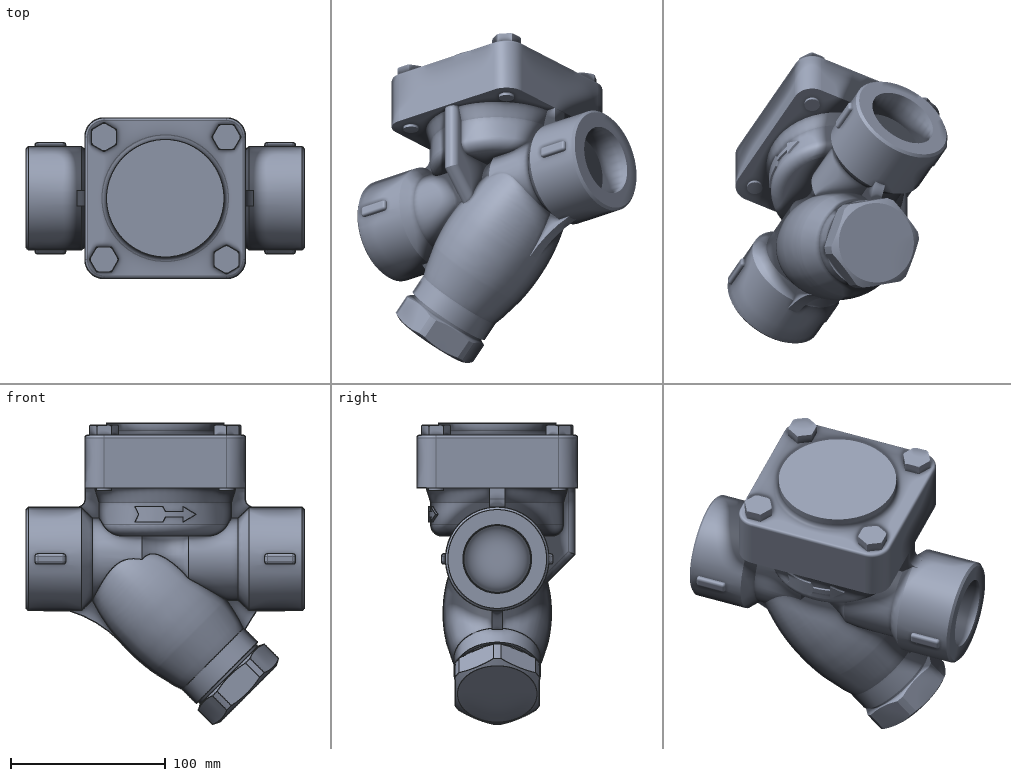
import cadquery as cq
import math

overall_height = 194.8

pipe_length = 180.0
pipe_end_dia = 67.0
pipe_mid_dia = 54.0
hub_inner_x = 54.1
hub_taper = 7.0
pipe_chamfer = 1.5
waist_half_length = 15.0
waist_depth = 5.5
bore_dia = 43.2
bore_mouth_dia = 44.5
bore_taper_depth = 15.4
bore_depth = 19.9

pad_length = 19.9
pad_width = 6.8
pad_x = 74.2
pad_outer_y = 36.0
pad_edge_radius = 1.8

bowl_bottom_z = 14.8
flare_z = 36.5
flange_bottom_z = 46.0
joint_z = 62.0
cover_top_z = 80.0
cap_straight_z = 83.0
cap_top_z = 87.8

flange_side = 104.0
flange_corner_radius = 12.5
cover_edge_radius = 1.8
cap_dia = 76
cap_base_dia = 81.8

bowl_radius = 43.0
bowl_top_radius = 46.0
bowl_edge_radius = 7.4

arrow_z = 28.8
arrow_height = 1.4
arrow_half_width = 5.0
arrow_shaft_half_width = 1.8
arrow_tail_x = -19.7
arrow_notch_x = -17.1
arrow_block_end_x = -1.5
arrow_shaft_start_x = 0.2
arrow_head_x = 11.5
arrow_tip_x = 19.9

bolt_offset = 39.5
bolt_dia = 10.0
bolt_head_flats = 16.4
bolt_head_height = 6.5
bolt_head_chamfer = 0.5
bolt_tip_length = 1.8

branch_angle = 45
branch_drop = 33.7
branch_start = -23.4
branch_start_radius = 25.3
bulge_station = 20.5
bulge_dia = 70.0
collar_start = 67.4
collar_end = 80.2
collar_dia = 56.0
plug_neck_radius = 26.3
plug_start = 82.2
plug_corner_start = 84.1
plug_flats = 54.5
plug_corner_radius = 30.2
plug_face_radius = 25.7
plug_face_chamfer = 2.3
plug_corner_end = (overall_height - cap_top_z - branch_drop / 2) * math.sqrt(2) - plug_corner_radius
plug_end = plug_corner_end + plug_face_chamfer

web_thickness = 6.8
web_top_z = -19.5
left_web_start_x = -62.1
left_web_mid = (-45.2, -40.9)
left_web_end = (-26.9, -55.9)
left_web_inner_x = -19.5
right_web_start_x = 59.0
right_web_end = (51.0, -46.4)
right_web_inner = (35, -35)
rib_width = 10.0
rib_outer_x = 51.8
rib_fillet = 5.3
back_rib_y = 50.2
back_rib_corner_z = 3.0
back_rib_slope = 25.3
back_rib_edge = 4.3


def pipe():
    half = pipe_length / 2
    end_r = pipe_end_dia / 2
    mid_r = pipe_mid_dia / 2
    taper_x = hub_inner_x - hub_taper
    body = (
        cq.Workplane("XZ")
        .moveTo(-half, 0)
        .lineTo(-half, end_r - pipe_chamfer)
        .lineTo(-half + pipe_chamfer, end_r)
        .lineTo(-hub_inner_x, end_r)
        .lineTo(-taper_x, mid_r)
        .lineTo(-waist_half_length, mid_r)
        .threePointArc((0, mid_r - waist_depth), (waist_half_length, mid_r))
        .lineTo(taper_x, mid_r)
        .lineTo(hub_inner_x, end_r)
        .lineTo(half - pipe_chamfer, end_r)
        .lineTo(half, end_r - pipe_chamfer)
        .lineTo(half, 0)
        .close()
        .revolve(360, (0, 0), (1, 0))
    )
    for x in (-pad_x, pad_x):
        pad = (
            cq.Workplane("XY")
            .box(pad_length, 2 * pad_outer_y, pad_width)
            .translate((x, 0, 0))
            .edges()
            .fillet(pad_edge_radius)
        )
        body = body.union(pad)
    return body


def pipe_bores():
    mouth_x = -pipe_length / 2
    bore = (
        cq.Workplane("XZ")
        .moveTo(mouth_x, 0)
        .lineTo(mouth_x, bore_mouth_dia / 2)
        .lineTo(mouth_x + bore_taper_depth, bore_dia / 2)
        .lineTo(mouth_x + bore_depth, bore_dia / 2)
        .lineTo(mouth_x + bore_depth, 0)
        .close()
        .revolve(360, (0, 0), (1, 0))
    )
    return bore.union(bore.mirror("YZ"))


def bowl():
    return (
        cq.Workplane("XZ")
        .moveTo(0, bowl_bottom_z)
        .lineTo(bowl_radius - bowl_edge_radius, bowl_bottom_z)
        .radiusArc((bowl_radius, bowl_bottom_z + bowl_edge_radius), -bowl_edge_radius)
        .lineTo(bowl_radius, flare_z)
        .lineTo(bowl_top_radius, flange_bottom_z)
        .lineTo(0, flange_bottom_z)
        .close()
        .revolve(360, (0, 0), (0, 1))
    )


def flow_arrow():
    upper = [
        (arrow_notch_x, 0),
        (arrow_tail_x, arrow_half_width),
        (arrow_block_end_x, arrow_half_width),
        (arrow_shaft_start_x, arrow_shaft_half_width),
        (arrow_head_x, arrow_shaft_half_width),
        (arrow_head_x, arrow_half_width),
        (arrow_tip_x, 0),
    ]
    lower = [(x, -z) for x, z in reversed(upper[1:-1])]
    outer_radius = bowl_radius + arrow_height
    prism = (
        cq.Workplane("XZ", origin=(0, 0, arrow_z))
        .polyline(upper + lower)
        .close()
        .extrude(outer_radius)
    )
    sleeve = cq.Workplane("XY").workplane(offset=bowl_bottom_z).circle(outer_radius)
    return prism.intersect(sleeve.extrude(flange_bottom_z - bowl_bottom_z))


def flange_block(bottom_z, top_z):
    return (
        cq.Workplane("XY")
        .workplane(offset=bottom_z)
        .rect(flange_side, flange_side)
        .extrude(top_z - bottom_z)
        .edges("|Z")
        .fillet(flange_corner_radius)
    )


def cover_cap():
    return (
        cq.Workplane("XZ")
        .moveTo(0, cover_top_z)
        .lineTo(cap_base_dia / 2, cover_top_z)
        .radiusArc((cap_dia / 2, cap_straight_z), (cap_base_dia - cap_dia) / 2)
        .lineTo(cap_dia / 2, cap_top_z)
        .lineTo(0, cap_top_z)
        .close()
        .revolve(360, (0, 0), (0, 1))
    )


def bolt(x, y):
    corner_r = bolt_head_flats / math.sqrt(3)
    turn = 0 if x * y > 0 else 90
    head = cq.Workplane("XY").polygon(6, 2 * corner_r).extrude(bolt_head_height)
    blank = cq.Workplane("XY").circle(corner_r).extrude(bolt_head_height)
    rounding = blank.faces(">Z").chamfer(bolt_head_chamfer)
    head = head.intersect(rounding).rotate((0, 0, 0), (0, 0, 1), turn)
    tip_z = flange_bottom_z - bolt_tip_length
    shank = cq.Workplane("XY").workplane(offset=tip_z).circle(bolt_dia / 2).extrude(cover_top_z - tip_z)
    return head.translate((0, 0, cover_top_z)).union(shank).translate((x, y, 0))


def place_on_branch(shape):
    foot = branch_drop / 2
    return shape.rotate((0, 0, 0), (0, 1, 0), branch_angle).translate((-foot, 0, -foot))


def branch():
    body = (
        cq.Workplane("XZ")
        .moveTo(branch_start, 0)
        .lineTo(branch_start, branch_start_radius)
        .threePointArc((bulge_station, bulge_dia / 2), (collar_start, collar_dia / 2))
        .lineTo(collar_end, collar_dia / 2)
        .lineTo(collar_end, plug_neck_radius)
        .lineTo(plug_start, plug_neck_radius)
        .lineTo(plug_start, 0)
        .close()
        .revolve(360, (0, 0), (1, 0))
    )
    turned_plug = (
        cq.Workplane("XZ")
        .moveTo(plug_start, 0)
        .lineTo(plug_start, plug_neck_radius)
        .lineTo(plug_corner_start, plug_corner_radius)
        .lineTo(plug_corner_end, plug_corner_radius)
        .lineTo(plug_end, plug_face_radius)
        .lineTo(plug_end, 0)
        .close()
        .revolve(360, (0, 0), (1, 0))
    )
    hexagon = (
        cq.Workplane("YZ", origin=(plug_start, 0, 0))
        .polygon(6, 2 * plug_flats / math.sqrt(3))
        .extrude(plug_end - plug_start)
        .rotate((0, 0, 0), (1, 0, 0), 90)
    )
    return place_on_branch(body.union(turned_plug.intersect(hexagon)))


def branch_webs():
    pipe_bottom = -pipe_end_dia / 2
    left = (
        cq.Workplane("XZ")
        .moveTo(left_web_start_x, pipe_bottom)
        .threePointArc(left_web_mid, left_web_end)
        .lineTo(left_web_inner_x, web_top_z)
        .lineTo(left_web_start_x, web_top_z)
        .close()
        .extrude(web_thickness / 2, both=True)
    )
    right = (
        cq.Workplane("XZ")
        .moveTo(right_web_start_x, pipe_bottom)
        .lineTo(*right_web_end)
        .lineTo(*right_web_inner)
        .lineTo(right_web_inner[0], web_top_z)
        .lineTo(right_web_start_x, web_top_z)
        .close()
        .extrude(web_thickness / 2, both=True)
    )
    return left.union(right)


def flange_ribs():
    pipe_top = pipe_end_dia / 2
    rib = (
        cq.Workplane("XZ")
        .moveTo(0, flange_bottom_z)
        .lineTo(rib_outer_x, flange_bottom_z)
        .lineTo(rib_outer_x, pipe_top + rib_fillet)
        .radiusArc((rib_outer_x + rib_fillet, pipe_top), -rib_fillet)
        .lineTo(rib_outer_x + rib_fillet, 0)
        .lineTo(0, 0)
        .close()
        .extrude(rib_width / 2, both=True)
    )
    return rib.union(rib.mirror("YZ"))


def back_rib():
    return (
        cq.Workplane("YZ")
        .polyline(
            [
                (0, joint_z),
                (back_rib_y, joint_z),
                (back_rib_y, back_rib_corner_z),
                (back_rib_y - back_rib_slope, back_rib_corner_z - back_rib_slope),
                (0, 0),
            ]
        )
        .close()
        .extrude(rib_width / 2, both=True)
        .edges("not |X")
        .fillet(back_rib_edge)
    )


cover = flange_block(joint_z, cover_top_z).faces(">Z").edges().fillet(cover_edge_radius)
valve = flange_block(flange_bottom_z, joint_z).union(cover).union(cover_cap())
for bolt_x in (-bolt_offset, bolt_offset):
    for bolt_y in (-bolt_offset, bolt_offset):
        valve = valve.union(bolt(bolt_x, bolt_y))
valve = valve.union(bowl()).union(flow_arrow()).union(pipe())
valve = valve.union(branch()).union(branch_webs()).union(flange_ribs()).union(back_rib())
result = valve.cut(pipe_bores())